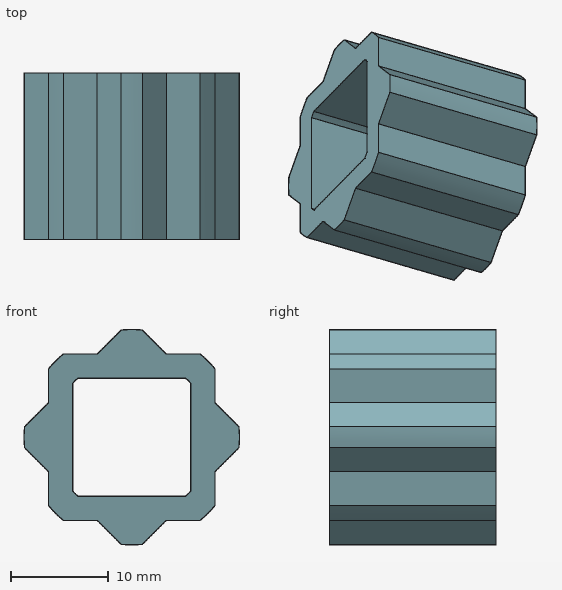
import cadquery as cq

LENGTH = 17.0
SQUARE_SIDE = 17.0
OUTER_DIAMETER = 22.0
BORE_SIDE = 12.0
BORE_CORNER_DIAMETER = 16.3

STAR_ANGLE = 45.0


def square_bar(side, angle=0.0):
    """Square bar along Y, centred on the origin and turned about Y."""
    bar = cq.Workplane("XY").box(side, LENGTH, side)
    return bar.rotate((0, 0, 0), (0, 1, 0), angle)


def round_bar(diameter):
    """Round bar along Y, centred on the origin."""
    return cq.Workplane("XZ").circle(diameter / 2).extrude(LENGTH / 2, both=True)


def star_body():
    """Eight-pointed star bar with its points trimmed to the outer diameter."""
    star = square_bar(SQUARE_SIDE).union(square_bar(SQUARE_SIDE, STAR_ANGLE))
    return star.intersect(round_bar(OUTER_DIAMETER))


def bore():
    """Square through-bore whose corners are trimmed to a cylinder."""
    return square_bar(BORE_SIDE).intersect(round_bar(BORE_CORNER_DIAMETER))


result = star_body().cut(bore())